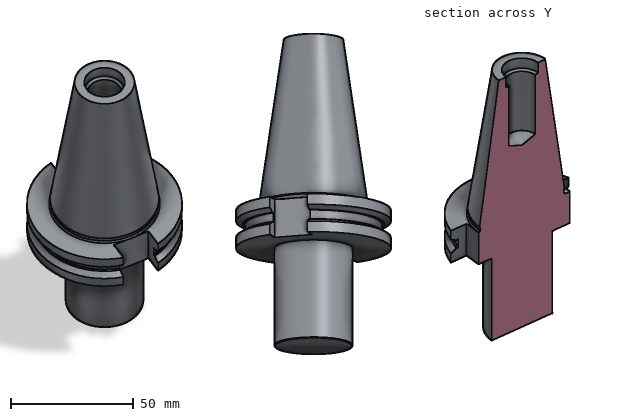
import cadquery as cq
import math

total_height = 128.25
gauge_height = 60.0

gauge_diameter = 44.45
taper_ratio = 7 / 24
taper_length = total_height - gauge_height
taper_top_radius = (gauge_diameter - taper_length * taper_ratio) / 2
taper_overrun = 0.65

neck_diameter = 44.0
neck_chamfer = 0.7

flange_diameter = 63.5
gauge_to_flange = 3.175
flange_top = gauge_height - gauge_to_flange
flange_thickness = 15.875
flange_bottom = flange_top - flange_thickness
groove_diameter = 56.25
groove_middle = (flange_top + flange_bottom) / 2
groove_floor_width = 3.9
groove_mouth_width = 7.0
groove_flank_angle = 30.0
slot_width = 16.13
slot_floor_left = 25.0
slot_floor_right = 22.6

shank_diameter = 32.0
shank_chamfer = 0.3

counterbore_diameter = 16.48
counterbore_depth = 5.0
bolt_hole_diameter = 13.5
bolt_hole_depth = 35.0
drill_point_angle = 140.0


def revolve_profile(points):
    """Revolve a closed (radius, height) outline about the Z axis."""
    outline = cq.Workplane("XZ").polyline(points).close()
    return outline.revolve(360, (0, 0, 0), (0, 1, 0))


def make_body():
    """Shank, flange, neck and taper as one turned solid."""
    shank_radius = shank_diameter / 2
    flange_radius = flange_diameter / 2
    neck_radius = neck_diameter / 2
    taper_bottom_radius = (gauge_diameter + taper_overrun * taper_ratio) / 2
    taper_bottom = gauge_height - taper_overrun
    outline = (
        cq.Workplane("XZ")
        .moveTo(0, 0)
        .lineTo(shank_radius - shank_chamfer, 0)
        .lineTo(shank_radius, shank_chamfer)
        .lineTo(shank_radius, flange_bottom)
        .lineTo(flange_radius, flange_bottom)
        .lineTo(flange_radius, flange_top)
        .lineTo(neck_radius + neck_chamfer, flange_top)
        .lineTo(neck_radius, flange_top + neck_chamfer)
        .lineTo(neck_radius, taper_bottom - (taper_bottom_radius - neck_radius))
        .lineTo(taper_bottom_radius, taper_bottom)
        .lineTo(taper_top_radius, total_height)
        .lineTo(0, total_height)
        .close()
    )
    return outline.revolve(360, (0, 0, 0), (0, 1, 0))


def make_groove():
    """V groove around the flange, with a square channel sunk below its flanks."""
    floor_radius = groove_diameter / 2
    rim_radius = flange_diameter / 2
    half_floor = groove_floor_width / 2
    half_mouth = groove_mouth_width / 2
    flank_depth = (half_mouth - half_floor) / math.tan(math.radians(groove_flank_angle))
    flank_foot_radius = rim_radius - flank_depth
    return revolve_profile([
        (floor_radius, groove_middle - half_floor),
        (flank_foot_radius, groove_middle - half_floor),
        (rim_radius, groove_middle - half_mouth),
        (rim_radius, groove_middle + half_mouth),
        (flank_foot_radius, groove_middle + half_floor),
        (floor_radius, groove_middle + half_floor),
    ])


def make_slot(side, floor_distance):
    """Key slot through the flange height; side is -1 for -X and +1 for +X."""
    slot_depth = flange_diameter / 2 - floor_distance
    slot_center = side * (floor_distance + slot_depth / 2)
    return (
        cq.Workplane("XY", origin=(slot_center, 0, flange_bottom))
        .rect(slot_depth, slot_width)
        .extrude(flange_thickness)
    )


def make_bolt_hole():
    """Stepped blind hole; its ledge and its bottom are cones of the drill point angle."""
    hole_radius = bolt_hole_diameter / 2
    counterbore_radius = counterbore_diameter / 2
    counterbore_floor = total_height - counterbore_depth
    hole_floor = total_height - bolt_hole_depth
    cone_slope = 1 / math.tan(math.radians(drill_point_angle / 2))
    ledge_drop = (counterbore_radius - hole_radius) * cone_slope
    point_depth = hole_radius * cone_slope
    return revolve_profile([
        (0, total_height),
        (counterbore_radius, total_height),
        (counterbore_radius, counterbore_floor),
        (hole_radius, counterbore_floor - ledge_drop),
        (hole_radius, hole_floor),
        (0, hole_floor - point_depth),
    ])


result = (
    make_body()
    .cut(make_groove())
    .cut(make_slot(-1, slot_floor_left))
    .cut(make_slot(1, slot_floor_right))
    .cut(make_bolt_hole())
)